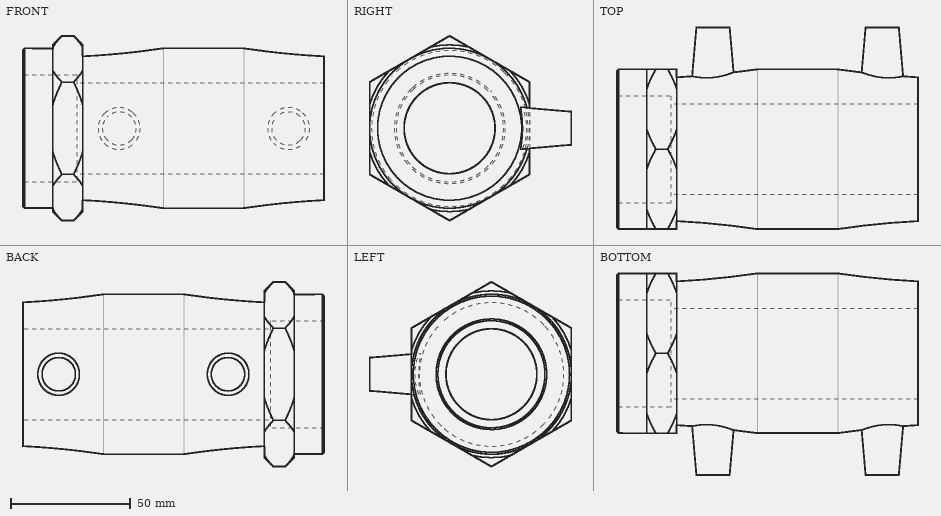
import cadquery as cq
import math

LENGTH = 126.0
COLLAR_DIAMETER = 67.0
COLLAR_CHAMFER = 0.8
BARREL_DIAMETER = COLLAR_DIAMETER
END_DIAMETER = 60.3

HEX_SIDES = 6
HEX_START = 12.5
HEX_END = 25.0
HEX_ACROSS_FLATS = COLLAR_DIAMETER
HEX_ACROSS_CORNERS = HEX_ACROSS_FLATS / math.cos(math.pi / HEX_SIDES)
HEX_FACE_DIAMETER = 69.8
ENVELOPE_MARGIN = 0.2

REAR_SECTIONS = 3
NECK_LENGTH = (LENGTH - HEX_END) / REAR_SECTIONS
NECK_ARC_RADIUS = 350.0
BARREL_START = HEX_END + NECK_LENGTH
BARREL_END = LENGTH - NECK_LENGTH

BORE_DIAMETER = 38.0
SOCKET_DIAMETER = 44.84
SOCKET_DEPTH = 22.5
SOCKET_CHAMFER = 0.75

TERMINAL_POSITIONS = (40.2, 111.0)
TERMINAL_TIP_Y = 51.0
TERMINAL_ROOT_Y = 25.0
TERMINAL_TIP_DIAMETER = 14.0
TERMINAL_TAPER = 5.0


def neck_midpoint(narrow_x, wide_x):
    """Middle point (x, radius) of the hollow arc between the narrow and wide ends of a neck."""
    rise = (BARREL_DIAMETER - END_DIAMETER) / 2
    chord = math.hypot(NECK_LENGTH, rise)
    sagitta = NECK_ARC_RADIUS - math.sqrt(NECK_ARC_RADIUS**2 - (chord / 2) ** 2)
    direction = math.copysign(1, wide_x - narrow_x)
    mean_radius = (BARREL_DIAMETER + END_DIAMETER) / 4
    x = (narrow_x + wide_x) / 2 + direction * sagitta * rise / chord
    radius = mean_radius - sagitta * NECK_LENGTH / chord
    return x, radius


def make_body():
    """Collar, necks and barrel, turned as one solid with its seam on -Y, away from the terminals."""
    end_radius = END_DIAMETER / 2
    collar_radius = COLLAR_DIAMETER / 2
    barrel_radius = BARREL_DIAMETER / 2
    return (
        cq.Workplane("XY")
        .transformed(rotate=(180, 0, 0))
        .moveTo(0, 0)
        .lineTo(0, collar_radius - COLLAR_CHAMFER)
        .lineTo(COLLAR_CHAMFER, collar_radius)
        .lineTo(HEX_START, collar_radius)
        .lineTo(HEX_START, end_radius)
        .lineTo(HEX_END, end_radius)
        .threePointArc(neck_midpoint(HEX_END, BARREL_START), (BARREL_START, barrel_radius))
        .lineTo(BARREL_END, barrel_radius)
        .threePointArc(neck_midpoint(LENGTH, BARREL_END), (LENGTH, end_radius))
        .lineTo(LENGTH, 0)
        .close()
        .revolve(360, (0, 0, 0), (1, 0, 0))
    )


def make_hexagon():
    """Hexagon with its corners turned off at 45 degrees on both faces."""
    width = HEX_END - HEX_START
    base = cq.Workplane("YZ", origin=(HEX_START, 0, 0))
    hexagon = base.transformed(rotate=(0, 0, 90)).polygon(HEX_SIDES, HEX_ACROSS_CORNERS).extrude(width)
    envelope_radius = HEX_ACROSS_CORNERS / 2 + ENVELOPE_MARGIN
    corner_chamfer = envelope_radius - HEX_FACE_DIAMETER / 2
    envelope = base.circle(envelope_radius).extrude(width).faces("<X or >X").chamfer(corner_chamfer)
    return hexagon.intersect(envelope)


def make_terminal(x):
    """Round terminal that widens from its tip towards the body."""
    return (
        cq.Workplane("XZ", origin=(x, TERMINAL_TIP_Y, 0))
        .circle(TERMINAL_TIP_DIAMETER / 2)
        .extrude(TERMINAL_TIP_Y - TERMINAL_ROOT_Y, taper=-TERMINAL_TAPER)
    )


def make_bore():
    """Through bore together with its chamfered socket, as a solid to cut away."""
    bore_radius = BORE_DIAMETER / 2
    socket_radius = SOCKET_DIAMETER / 2
    return (
        cq.Workplane("XY")
        .moveTo(0, 0)
        .lineTo(0, socket_radius + SOCKET_CHAMFER)
        .lineTo(SOCKET_CHAMFER, socket_radius)
        .lineTo(SOCKET_DEPTH, socket_radius)
        .lineTo(SOCKET_DEPTH, bore_radius)
        .lineTo(LENGTH, bore_radius)
        .lineTo(LENGTH, 0)
        .close()
        .revolve(360, (0, 0, 0), (1, 0, 0))
    )


result = make_body().union(make_hexagon())
for terminal_x in TERMINAL_POSITIONS:
    result = result.union(make_terminal(terminal_x))
result = result.cut(make_bore())